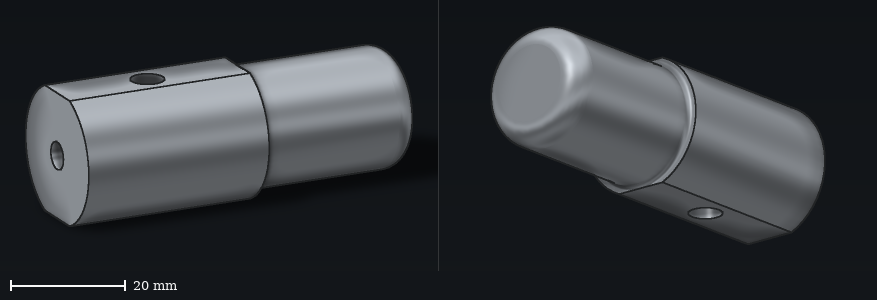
import cadquery as cq

total_length = 65.0
body_diameter = 25.0
body_length = 35.0
flat_spacing = 23.0
nose_diameter = 22.0
nose_rounding = 4.0
shoulder_fillet = 1.0
edge_margin = 0.05

cross_hole_diameter = 6.0
cross_hole_y = body_length / 2
axial_hole_diameter = 5.0

body_radius = body_diameter / 2
nose_radius = nose_diameter / 2


def turned_blank():
    """Stepped round bar with a sharp shoulder and a rounded nose."""
    return (
        cq.Workplane("XY")
        .lineTo(body_radius, 0)
        .lineTo(body_radius, body_length)
        .lineTo(nose_radius, body_length)
        .lineTo(nose_radius, total_length - nose_rounding)
        .radiusArc((nose_radius - nose_rounding, total_length), -nose_rounding)
        .lineTo(0, total_length)
        .close()
        .revolve(360, (0, 0, 0), (0, 1, 0))
    )


def flats_envelope():
    """Slab whose top and bottom faces form the two flats."""
    return cq.Workplane("XY").box(
        body_diameter, total_length, flat_spacing, centered=(True, False, True)
    )


def cross_hole():
    """Cutter that passes through both flats."""
    return (
        cq.Workplane("XY")
        .center(0, cross_hole_y)
        .circle(cross_hole_diameter / 2)
        .extrude(body_radius, both=True)
    )


def axial_hole():
    """Cutter from the flat end face to the axis of the cross hole."""
    return cq.Workplane("XZ").circle(axial_hole_diameter / 2).extrude(-cross_hole_y)


def shoulder_edge_selector():
    """Box around the circle where the nose meets the shoulder."""
    reach = nose_radius + edge_margin
    return cq.selectors.BoxSelector(
        (-reach, body_length - edge_margin, -reach),
        (reach, body_length + edge_margin, reach),
        boundingbox=True,
    )


flatted_bar = turned_blank().intersect(flats_envelope())
filleted_bar = flatted_bar.edges(shoulder_edge_selector()).fillet(shoulder_fillet)

result = filleted_bar.cut(cross_hole()).cut(axial_hole())